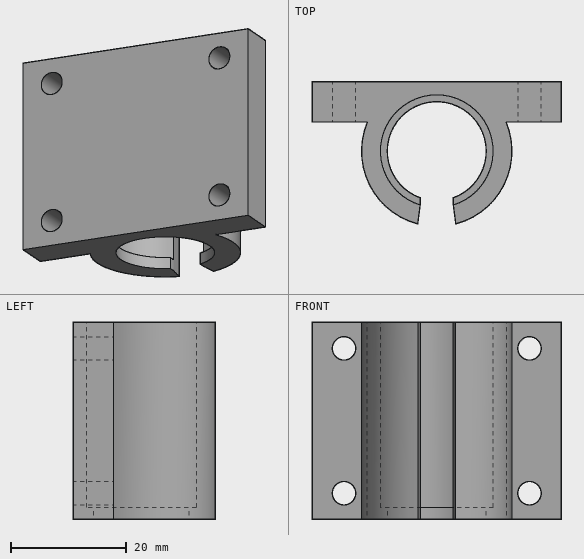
import cadquery as cq
import math

plate_width = 43.0
height = 34.0
plate_thickness = 7.0

axis_to_back = 12.0
barrel_radius = 13.0
bore_radius = 9.7
lip_radius = 8.5
lip_height = 2.0

slot_half_width = 2.85
slot_mouth_half_width = 3.25

hole_diameter = 4.0
hole_spacing_x = 32.0
hole_edge_distance = 4.5


def make_plate():
    return (
        cq.Workplane("XY")
        .center(0, axis_to_back - plate_thickness / 2)
        .rect(plate_width, plate_thickness)
        .extrude(height)
    )


def make_bore():
    """Full bore above the lip, with the narrower opening through the lip."""
    wide = cq.Workplane("XY").workplane(offset=lip_height).circle(bore_radius).extrude(height - lip_height)
    narrow = cq.Workplane("XY").circle(lip_radius).extrude(height)
    return wide.union(narrow)


def make_slot():
    flare_start_y = -math.sqrt(bore_radius**2 - slot_half_width**2)
    mouth_y = -math.sqrt(barrel_radius**2 - slot_mouth_half_width**2)
    slope = (slot_mouth_half_width - slot_half_width) / (flare_start_y - mouth_y)
    front_half_width = slot_half_width + slope * (flare_start_y + barrel_radius)
    return (
        cq.Workplane("XY")
        .moveTo(-slot_half_width, 0)
        .lineTo(-slot_half_width, flare_start_y)
        .lineTo(-front_half_width, -barrel_radius)
        .lineTo(front_half_width, -barrel_radius)
        .lineTo(slot_half_width, flare_start_y)
        .lineTo(slot_half_width, 0)
        .close()
        .extrude(height)
    )


def make_screw_holes():
    """Four cylinders along Y that pass through the plate."""
    return (
        cq.Workplane("XZ", origin=(0, axis_to_back, height / 2))
        .rect(hole_spacing_x, height - 2 * hole_edge_distance, forConstruction=True)
        .vertices()
        .circle(hole_diameter / 2)
        .extrude(plate_thickness)
    )


barrel = cq.Workplane("XY").circle(barrel_radius).extrude(height)
behind_plate = (
    cq.Workplane("XY")
    .center(0, axis_to_back + barrel_radius / 2)
    .rect(plate_width, barrel_radius)
    .extrude(height)
)

result = (
    make_plate()
    .union(barrel.cut(behind_plate))
    .cut(make_bore())
    .cut(make_slot())
    .cut(make_screw_holes())
)